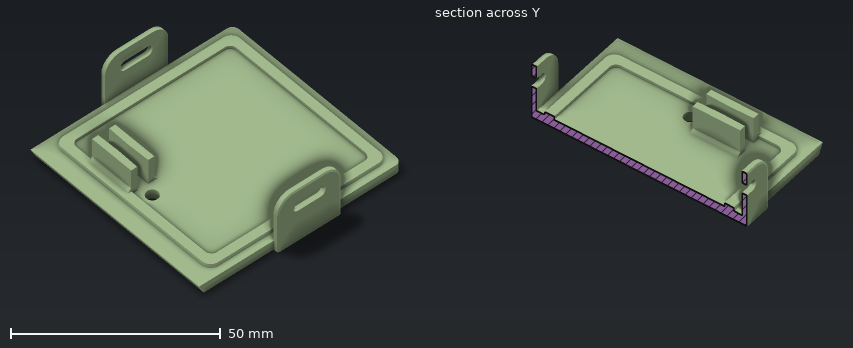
import cadquery as cq
import math

overall_width = 64.4
overall_depth = 64.2
overall_height = 17.2

plate_width = 61.25
plate_thickness = 2.95
plate_corner_radius = 2.0
front_bevel_run = 1.5
plate_back = plate_width / 2
plate_front = plate_back - overall_depth

frame_size = 56.8
frame_height = 1.0
frame_corner_radius = 3.0
frame_lean = 0.25
recess_size = 50.75
recess_corner_radius = 2.0
frame_top = plate_thickness + frame_height

tab_width = 20.0
tab_corner_radius = 5.0
tab_chamfer_depth = 0.25
tab_chamfer_width = 0.5
slot_length = 10.25
slot_height = 3.2
slot_center_z = 11.7
tab_thickness = (overall_width - plate_width) / 2

rib_length = 14.2
rib_end_thickness = 1.9
rib_crown = 0.2
rib_top = 11.0
rib_center_x = -10.55
rib_foot = 1.0
rib_outer_offset = 3.7
rib_pair_y = rib_outer_offset - recess_size / 2
hole_diameter = 3.7


def make_plate():
    """Plate with rounded back corners and a front edge sloping inward toward the underside."""
    profile = [
        (plate_front + front_bevel_run, 0),
        (plate_back, 0),
        (plate_back, plate_thickness),
        (plate_front, plate_thickness),
    ]
    plate = cq.Workplane("YZ").polyline(profile).close().extrude(plate_width / 2, both=True)
    return plate.edges("|Z and >Y").fillet(plate_corner_radius)


def make_frame():
    """Square rim whose outer wall leans inward toward the top, open down to the plate surface."""
    outline = cq.Sketch().rect(frame_size, frame_size).vertices().fillet(frame_corner_radius)
    opening = cq.Sketch().rect(recess_size, recess_size).vertices().fillet(recess_corner_radius)
    plate_surface = cq.Workplane("XY").workplane(offset=plate_thickness)
    lean_angle = math.degrees(math.atan2(frame_lean, frame_height))
    rim = plate_surface.placeSketch(outline).extrude(frame_height, taper=lean_angle)
    return rim.cut(plate_surface.placeSketch(opening).extrude(frame_height))


def make_tab():
    """Right-hand tab with rounded top corners, a chamfered outer edge and a slot."""
    tab = (
        cq.Workplane("YZ")
        .workplane(offset=plate_width / 2)
        .rect(tab_width, 2 * overall_height)
        .extrude(tab_thickness)
        .edges("|X")
        .fillet(tab_corner_radius)
        .faces(">X")
        .chamfer(tab_chamfer_depth, tab_chamfer_width)
    )
    above_underside = cq.Workplane("XY").box(
        2 * overall_width, overall_depth, overall_height, centered=(True, True, False)
    )
    slot = (
        cq.Workplane("YZ")
        .center(0, slot_center_z)
        .slot2D(slot_length, slot_height)
        .extrude(overall_width)
    )
    return tab.intersect(above_underside).cut(slot)


def make_rib(side, foot_z):
    """Rib with a crowned inner face and a 45 degree foot rising from foot_z.

    side is +1 for the back rib and -1 for the front one.
    """
    outer_y = rib_pair_y + side * rib_outer_offset
    inner_y = outer_y - side * rib_end_thickness
    left = rib_center_x - rib_length / 2
    right = rib_center_x + rib_length / 2
    wall = (
        cq.Workplane("XY")
        .workplane(offset=plate_thickness)
        .moveTo(left, outer_y)
        .lineTo(right, outer_y)
        .lineTo(right, inner_y)
        .lineTo(rib_center_x, inner_y - side * rib_crown)
        .lineTo(left, inner_y)
        .close()
        .extrude(rib_top - plate_thickness)
    )
    foot_profile = [
        (outer_y, foot_z),
        (outer_y + side * rib_foot, foot_z),
        (outer_y, foot_z + rib_foot),
        (outer_y - side * rib_end_thickness / 2, foot_z + rib_foot),
        (outer_y - side * rib_end_thickness / 2, foot_z),
    ]
    foot = cq.Workplane("YZ").workplane(offset=left).polyline(foot_profile).close().extrude(rib_length)
    return wall.union(foot)


right_tab = make_tab()
hole = cq.Workplane("XY").center(0, rib_pair_y).circle(hole_diameter / 2).extrude(frame_top)

result = (
    make_plate()
    .union(make_frame())
    .union(right_tab)
    .union(right_tab.mirror("YZ"))
    .union(make_rib(1, plate_thickness))
    .union(make_rib(-1, frame_top))
    .cut(hole)
)